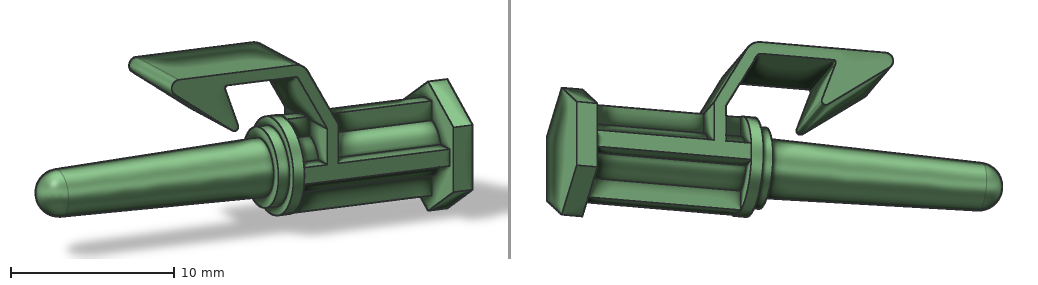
import cadquery as cq
import math

total_length = 27.9

head_across_flats = 7.1
head_thickness = 1.3

rib_span = 6.0
rib_thickness = 1.05
core_radius = 1.85
shaft_end = 11.2

flange_radius = 3.07
step_radius = 2.5
disc_thickness = 0.75

pin_root_radius = 1.85
pin_end_radius = 1.48
dome_height = 1.37

latch_thickness = 0.75
latch_top = 7.1
latch_leg_back = 8.87
latch_slope = math.radians(60)
hook_inner_corner = 16.65
hook_inner_angle = math.radians(70)
hook_ramp_angle = math.radians(35)
nose_front = 20.22
nose_radius = 0.5
barb_radius = 0.25
outer_bend_radius = 1.0
inner_bend_radius = 0.25
hook_corner_radius = 0.17


def make_head():
    corner_diameter = head_across_flats / math.cos(math.pi / 6)
    return (
        cq.Workplane("XZ")
        .transformed(rotate=(0, 0, 90))
        .polygon(6, corner_diameter)
        .extrude(head_thickness)
    )


def make_ribbed_shaft():
    profile = cq.Workplane("XZ")
    core = profile.circle(core_radius).extrude(shaft_end)
    flat_rib = profile.rect(rib_span, rib_thickness).extrude(shaft_end)
    upright_rib = profile.rect(rib_thickness, rib_span).extrude(shaft_end)
    return core.union(flat_rib).union(upright_rib)


def make_flange_and_pin():
    flange_end = shaft_end + disc_thickness
    step_end = flange_end + disc_thickness
    dome_start = total_length - dome_height
    dome_radius = (pin_end_radius**2 + dome_height**2) / (2 * dome_height)
    half_cap_angle = math.asin(pin_end_radius / dome_radius) / 2
    mid_radius = dome_radius * math.sin(half_cap_angle)
    mid_position = total_length - dome_radius * (1 - math.cos(half_cap_angle))
    return (
        cq.Workplane("XY")
        .moveTo(0, -shaft_end)
        .lineTo(flange_radius, -shaft_end)
        .lineTo(flange_radius, -flange_end)
        .lineTo(step_radius, -flange_end)
        .lineTo(step_radius, -step_end)
        .lineTo(pin_root_radius, -step_end)
        .lineTo(pin_end_radius, -dome_start)
        .threePointArc((mid_radius, -mid_position), (0, -total_length))
        .close()
        .revolve(360, (0, 0, 0), (0, 1, 0))
    )


def make_latch():
    leg_front = latch_leg_back + latch_thickness
    arm_underside = latch_top - latch_thickness
    outer_knee_z = rib_span / 2
    knee_drop = latch_thickness * math.tan((math.pi / 2 - latch_slope) / 2)
    inner_knee_z = outer_knee_z - knee_drop
    outer_bend = latch_leg_back + (latch_top - outer_knee_z) / math.tan(latch_slope)
    inner_bend = leg_front + (arm_underside - inner_knee_z) / math.tan(latch_slope)

    nose = nose_front - nose_radius + nose_radius / math.tan(hook_ramp_angle / 2)

    ramp_rise = math.tan(hook_ramp_angle)
    inner_rise = math.tan(hook_inner_angle)
    ramp_gap = arm_underside - latch_top + (nose - hook_inner_corner) * ramp_rise
    barb_setback = ramp_gap / (inner_rise - ramp_rise)
    barb = hook_inner_corner - barb_setback
    barb_z = arm_underside - barb_setback * inner_rise

    outline = [
        (-latch_leg_back, 0),
        (-latch_leg_back, outer_knee_z),
        (-outer_bend, latch_top),
        (-nose, latch_top),
        (-barb, barb_z),
        (-hook_inner_corner, arm_underside),
        (-inner_bend, arm_underside),
        (-leg_front, inner_knee_z),
        (-leg_front, 0),
    ]
    latch = cq.Workplane("YZ").polyline(outline).close().extrude(rib_span / 2, both=True)

    rounded_corners = [
        (outer_bend, latch_top, outer_bend_radius),
        (nose, latch_top, nose_radius),
        (barb, barb_z, barb_radius),
        (hook_inner_corner, arm_underside, hook_corner_radius),
        (inner_bend, arm_underside, inner_bend_radius),
    ]
    for distance, height, radius in rounded_corners:
        corner = cq.selectors.NearestToPointSelector((0, -distance, height))
        latch = latch.edges("|X").edges(corner).fillet(radius)
    return latch


result = (
    make_head()
    .union(make_ribbed_shaft())
    .union(make_flange_and_pin())
    .union(make_latch())
)